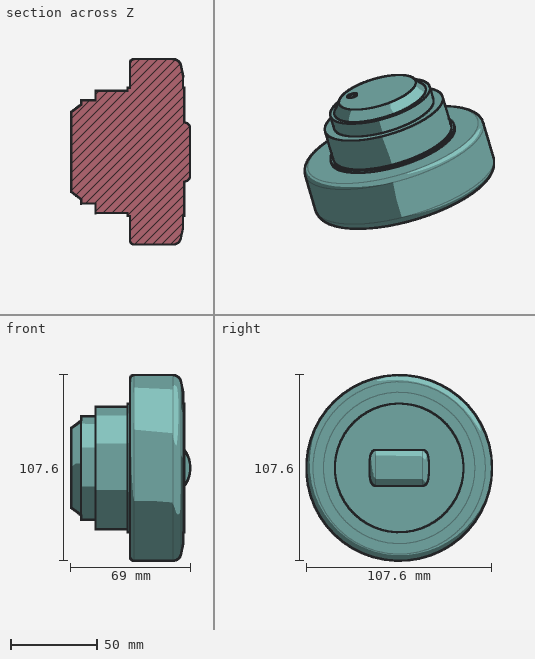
import cadquery as cq
import math

nose_end = 5.8
neck_end = 14.0
hub_end = 32.5
flange_back = 33.9
flange_front = 64.9
pad_front = 65.6
overall_length = 69.0

nose_tip_radius = 23.2
nose_base_radius = 27.6
neck_radius = 30.0
hub_radius = 35.5
collar_radius = 37.3
flange_radius = 53.8

back_round = 2.6
front_round = 5.0
round_start = 58.8
face_cone_angle = math.radians(12)

key_radius = 17.6
key_half_length = 17.2
key_end_round = 3.7

hole_y = 15.1
hole_z = 5.4
hole_radius = 2.6
hole_chamfer = 0.4
hole_depth = 10.8
drill_point_angle = math.radians(118)


def round_point(angle):
    """Point (x, radius) on the front rim round, with the angle taken from the X direction."""
    return (
        round_start + front_round * math.cos(angle),
        flange_radius - front_round + front_round * math.sin(angle),
    )


def turned_body():
    cone_start = round_point(face_cone_angle)
    round_middle = round_point((face_cone_angle + math.pi / 2) / 2)
    cone_drop = (flange_front - cone_start[0]) / math.tan(face_cone_angle)
    back_offset = back_round * (1 - math.sqrt(0.5))
    return (
        cq.Workplane("XY")
        .moveTo(0, 0)
        .lineTo(0, nose_tip_radius)
        .lineTo(nose_end, nose_base_radius)
        .lineTo(nose_end, neck_radius)
        .lineTo(neck_end, neck_radius)
        .lineTo(neck_end, hub_radius)
        .lineTo(hub_end, hub_radius)
        .lineTo(hub_end, collar_radius)
        .lineTo(flange_back, collar_radius)
        .lineTo(flange_back, flange_radius - back_round)
        .threePointArc(
            (flange_back + back_offset, flange_radius - back_offset),
            (flange_back + back_round, flange_radius),
        )
        .lineTo(round_start, flange_radius)
        .threePointArc(round_middle, cone_start)
        .lineTo(flange_front, cone_start[1] - cone_drop)
        .lineTo(flange_front, collar_radius)
        .lineTo(pad_front, collar_radius)
        .lineTo(pad_front, 0)
        .close()
        .revolve(360, (0, 0, 0), (1, 0, 0))
    )


def front_key():
    return (
        cq.Workplane("XZ")
        .center(overall_length - key_radius, 0)
        .circle(key_radius)
        .extrude(key_half_length, both=True)
        .faces("<Y or >Y")
        .edges()
        .fillet(key_end_round)
    )


def drilled_hole():
    mouth_radius = hole_radius + hole_chamfer
    point_depth = hole_radius / math.tan(drill_point_angle / 2)
    return (
        cq.Workplane("XY")
        .moveTo(0, 0)
        .lineTo(0, mouth_radius)
        .lineTo(hole_chamfer, hole_radius)
        .lineTo(hole_depth, hole_radius)
        .lineTo(hole_depth + point_depth, 0)
        .close()
        .revolve(360, (0, 0, 0), (1, 0, 0))
        .translate((0, hole_y, hole_z))
    )


result = turned_body().union(front_key()).cut(drilled_hole())